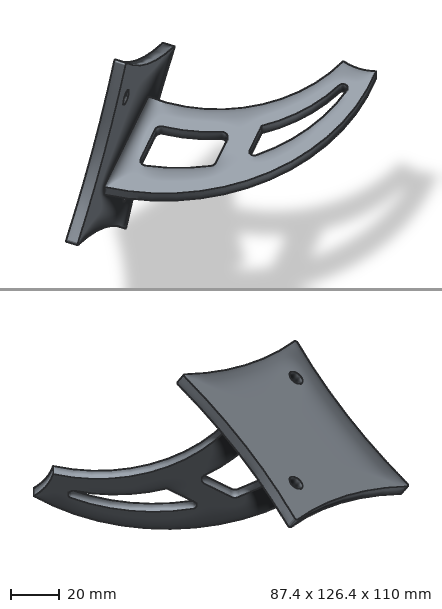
import cadquery as cq
import math

plate_thickness = 5.0
plate_span = 110.0
side_radius = 183.2
tip_radius = 1.0
hole_diameter = 6.5
hole_spacing = 65.0

arm_thickness = 5.0
arm_reach = 87.4
overall_length = 126.4
outer_radius = 91.4
outer_center_y = 66.0
inner_radius = 65.3
inner_center = (10.4, 90.3)
saddle_radius = 21.5

window_inner_radius = 69.1
window_inner_center = (10.6, 81.9)
window_outer_radius = 78.8
window_outer_center = (1.6, 68.9)
near_window_corner_radius = 2.8
far_window_corner_radius = 2.0
near_window_start = 13.8
near_window_end = 43.2
far_window_start = 53.8

arm_top = overall_length - plate_span / 2
outer_center = (arm_reach - outer_radius, outer_center_y)


def arc_y(center, radius, x):
    """Y of the lower half of a circle at the given X."""
    return center[1] - math.sqrt(radius**2 - (x - center[0]) ** 2)


def arc_x(center, radius, y):
    """X of the right half of a circle at the given Y."""
    return center[0] + math.sqrt(radius**2 - (y - center[1]) ** 2)


def middle_of_arc(center, radius, start, end):
    """Point of the circle halfway between two points on it."""
    dx = (start[0] + end[0]) / 2 - center[0]
    dy = (start[1] + end[1]) / 2 - center[1]
    stretch = radius / math.hypot(dx, dy)
    return (center[0] + dx * stretch, center[1] + dy * stretch)


def circle_crossing(center_a, radius_a, center_b, radius_b):
    """Upper crossing point of two circles, with center_a up and to the right of center_b."""
    dx = center_b[0] - center_a[0]
    dy = center_b[1] - center_a[1]
    distance = math.hypot(dx, dy)
    along = (distance**2 + radius_a**2 - radius_b**2) / (2 * distance)
    across = math.sqrt(radius_a**2 - along**2)
    return (
        center_a[0] + (along * dx - across * dy) / distance,
        center_a[1] + (along * dy + across * dx) / distance,
    )


def make_plate():
    tip_center = plate_span / 2 - tip_radius
    side_offset = (tip_center + math.sqrt(2 * (side_radius + tip_radius) ** 2 - tip_center**2)) / 2
    sharp_tip = side_offset - math.sqrt(side_radius**2 - side_offset**2)
    waist = side_offset - side_radius / math.sqrt(2)

    outline = cq.Workplane("YZ").moveTo(sharp_tip, 0)
    outline = outline.threePointArc((waist, waist), (0, sharp_tip))
    outline = outline.threePointArc((-waist, waist), (-sharp_tip, 0))
    outline = outline.threePointArc((-waist, -waist), (0, -sharp_tip))
    outline = outline.threePointArc((waist, -waist), (sharp_tip, 0))
    plate = outline.close().extrude(plate_thickness).edges("|X").fillet(tip_radius)

    holes = (
        cq.Workplane("YZ")
        .pushPoints([(0, -hole_spacing / 2), (0, hole_spacing / 2)])
        .circle(hole_diameter / 2)
        .extrude(plate_thickness)
    )
    return plate.cut(holes)


def arm_plane():
    return cq.Workplane("XY", origin=(0, 0, -arm_thickness / 2))


def make_arm():
    root_outer = (plate_thickness, arc_y(outer_center, outer_radius, plate_thickness))
    root_inner = (plate_thickness, arc_y(inner_center, inner_radius, plate_thickness))
    end_outer = (arc_x(outer_center, outer_radius, arm_top), arm_top)
    end_inner = (arc_x(inner_center, inner_radius, arm_top), arm_top)
    half_width = (end_outer[0] - end_inner[0]) / 2
    saddle_depth = saddle_radius - math.sqrt(saddle_radius**2 - half_width**2)
    saddle_bottom = (end_inner[0] + half_width, arm_top - saddle_depth)
    return (
        arm_plane()
        .moveTo(*root_outer)
        .threePointArc(middle_of_arc(outer_center, outer_radius, root_outer, end_outer), end_outer)
        .threePointArc(saddle_bottom, end_inner)
        .threePointArc(middle_of_arc(inner_center, inner_radius, end_inner, root_inner), root_inner)
        .close()
        .extrude(arm_thickness)
    )


def window_inner_point(x):
    return (x, arc_y(window_inner_center, window_inner_radius, x))


def window_outer_point(x):
    return (x, arc_y(window_outer_center, window_outer_radius, x))


def window_inner_middle(start, end):
    return middle_of_arc(window_inner_center, window_inner_radius, start, end)


def window_outer_middle(start, end):
    return middle_of_arc(window_outer_center, window_outer_radius, start, end)


def make_near_window():
    """Four-sided window beside the plate, with all corners rounded."""
    outer_start = window_outer_point(near_window_start)
    outer_end = window_outer_point(near_window_end)
    inner_start = window_inner_point(near_window_start)
    inner_end = window_inner_point(near_window_end)
    window = (
        arm_plane()
        .moveTo(*outer_start)
        .threePointArc(window_outer_middle(outer_start, outer_end), outer_end)
        .lineTo(*inner_end)
        .threePointArc(window_inner_middle(inner_end, inner_start), inner_start)
        .close()
        .extrude(arm_thickness)
    )
    return window.edges("|Z").fillet(near_window_corner_radius)


def make_far_window():
    """Pointed window towards the arm end; its blunt inner corner stays sharp."""
    outer_start = window_outer_point(far_window_start)
    inner_start = window_inner_point(far_window_start)
    point = circle_crossing(
        window_inner_center, window_inner_radius, window_outer_center, window_outer_radius
    )
    window = (
        arm_plane()
        .moveTo(*outer_start)
        .threePointArc(window_outer_middle(outer_start, point), point)
        .threePointArc(window_inner_middle(point, inner_start), inner_start)
        .close()
        .extrude(arm_thickness)
    )
    rounded_corners = window.edges("|Z and (<Y or >Y)")
    return rounded_corners.fillet(far_window_corner_radius)


arm = make_arm().cut(make_near_window()).cut(make_far_window())
result = make_plate().union(arm)